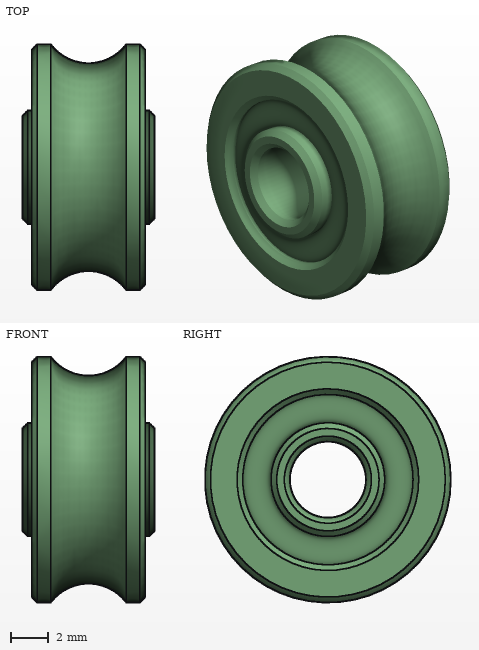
import cadquery as cq

outer_diameter = 13.0
outer_width = 6.0
race_diameter = 9.0
inner_diameter = 6.0
inner_width = 7.0
bore_diameter = 4.0
edge_chamfer = 0.3
groove_width = 4.0
groove_depth = 1.0

filler_recess = 0.5
filler_width = outer_width - 2 * filler_recess


def make_tube(outside, inside, width):
    """Plain tube along X, centred on the origin."""
    return (
        cq.Workplane("YZ")
        .circle(outside / 2)
        .circle(inside / 2)
        .extrude(width / 2, both=True)
    )


def make_chamfered_tube(outside, inside, width):
    """Tube with its outer and bore edges chamfered at both ends."""
    return make_tube(outside, inside, width).faces("<X or >X").edges().chamfer(edge_chamfer)


def make_groove_cutter():
    """Ring with a circular-arc floor that cuts the running groove."""
    rim_radius = outer_diameter / 2
    half_width = groove_width / 2
    clear_radius = rim_radius + groove_depth
    return (
        cq.Workplane("XY")
        .moveTo(-half_width, rim_radius)
        .threePointArc((0, rim_radius - groove_depth), (half_width, rim_radius))
        .lineTo(half_width, clear_radius)
        .lineTo(-half_width, clear_radius)
        .close()
        .revolve(360, (0, 0, 0), (1, 0, 0))
    )


def make_outer_ring():
    blank = make_chamfered_tube(outer_diameter, race_diameter, outer_width)
    return blank.cut(make_groove_cutter())


def make_inner_ring():
    return make_chamfered_tube(inner_diameter, bore_diameter, inner_width)


def make_filler_ring():
    return make_tube(race_diameter, inner_diameter, filler_width)


outer_ring = make_outer_ring()
inner_ring = make_inner_ring()
filler_ring = make_filler_ring()

result = cq.Compound.makeCompound([outer_ring.val(), inner_ring.val(), filler_ring.val()])